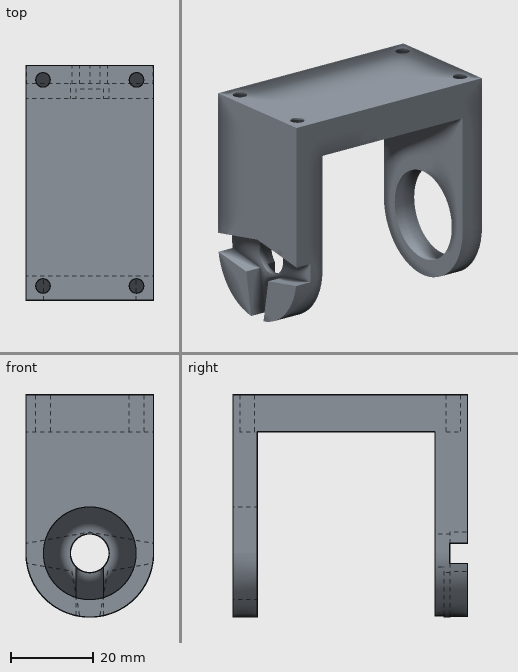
import cadquery as cq
import math

width = 31.0
length = 57.0
height = 54.0
top_thickness = 9.0
front_thickness = 6.0
back_thickness = 8.0

front_bore_diameter = 22.5
back_bore_diameter = 9.35

inner_slot_width = 6.55
inner_slot_depth = 2.3
arm_rim_width = 4.8
arm_depth = 4.35
arm_taper = 10.0

hole_diameter = 3.55
hole_spacing_x = 22.7
hole_spacing_y = 50.0
hole_depth = top_thickness

end_radius = width / 2
top_z = height - end_radius
front_y = -length / 2
back_y = length / 2
back_inner_y = back_y - back_thickness


def box(size_x, y_start, y_end, z_start, z_end):
    """Block centred on X, given by its Y and Z limits."""
    return cq.Workplane("XY").box(
        size_x, y_end - y_start, z_end - z_start, centered=(True, False, False)
    ).translate((0, y_start, z_start))


def cylinder_y(diameter, y_start, y_end):
    """Cylinder along Y on the pivot axis."""
    return cq.Workplane("XZ", origin=(0, y_start, 0)).circle(diameter / 2).extrude(y_start - y_end)


def wall(y_start, y_end, bore_diameter):
    """Upright wall with a rounded lower end and a bore on the pivot axis."""
    upright = box(width, y_start, y_end, 0, top_z)
    rounded_end = cylinder_y(width, y_start, y_end)
    return upright.union(rounded_end).cut(cylinder_y(bore_diameter, y_start, y_end))


def tapered_arm(angle):
    """Slot in the outer face from the axis to the rim; 0 points to +X, 90 points down."""
    half_rim = arm_rim_width / 2
    half_center = half_rim + end_radius * math.tan(math.radians(arm_taper))
    outline = [(0, -half_center), (end_radius, -half_rim), (end_radius, half_rim), (0, half_center)]
    arm = cq.Workplane("XZ", origin=(0, back_y, 0)).polyline(outline).close().extrude(arm_depth)
    return arm.rotate((0, 0, 0), (0, 1, 0), angle)


body = box(width, front_y, back_y, top_z - top_thickness, top_z)
body = body.union(wall(front_y, front_y + front_thickness, front_bore_diameter))
body = body.union(wall(back_inner_y, back_y, back_bore_diameter))

body = body.cut(box(inner_slot_width, back_inner_y, back_inner_y + inner_slot_depth, -end_radius, 0))

for arm_angle in (0, 90, 180):
    body = body.cut(tapered_arm(arm_angle))

corner_holes = (
    cq.Workplane("XY", origin=(0, 0, top_z))
    .rarray(hole_spacing_x, hole_spacing_y, 2, 2)
    .circle(hole_diameter / 2)
    .extrude(-hole_depth)
)
result = body.cut(corner_holes)